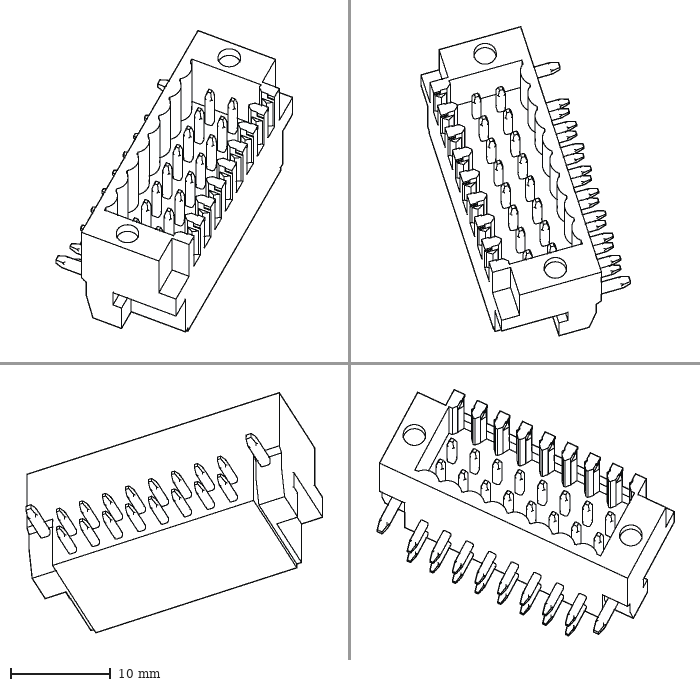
import cadquery as cq


depth = 10.48
length = 27.88
height = 14.2
overcut = 0.28

pitch = 2.55
pins_per_row = 8
near_row = 3.65
low_tail = 1.23
pin_ys = [(i - (pins_per_row - 1) / 2) * pitch for i in range(pins_per_row)]

tail_reach = 3.5
tip_length = 1.05
contact_size = 0.85
contact_tip_size = 0.35
contact_fillet = 0.22
contact_top = 12.2
anchor_size = 1.03
anchor_tip_size = 0.55
anchor_fillet = 0.25
anchor_z = 5.5
pin_root = 0.55

pocket_back = 0.95
pocket_front = 8.6
pocket_half_length = 10.43
pocket_floor = 7.08
scallop_rise = 0.55
scallop_half_width = 1.17

slot_mouth_half = 1.17
slot_half = 0.78
slot_mouth_length = 0.45
sill_back = 9.73
sill_top = 9.2
ridge_start = 9.1
ridge_end = 10.3
ridge_gap_half = 0.42
ridge_top = 13.1
tab_gap_half = 0.7
tab_height = 0.53

end_y = 12.15
hole_x = 4.3
hole_diameter = 2.25
hole_depth = 1.12
notch_length = 3.15
notch_floor = 8.87
wing_length = 2.85
wing_setback = 0.53
wing_base = 0.53
undercut_length = 2.31
undercut_top = 6.02
undercut_step = 3.95


def block(x_range, y_range, z_range):
    """Box spanning three (low, high) ranges."""
    (x0, x1), (y0, y1), (z0, z1) = x_range, y_range, z_range
    return cq.Workplane("XY").box(x1 - x0, y1 - y0, z1 - z0, centered=False).translate((x0, y0, z0))


def prism(points, z_low, z_high):
    """Upright prism on an XY outline."""
    return cq.Workplane("XY").workplane(offset=z_low).polyline(points).close().extrude(z_high - z_low)


def end_profile(points, inner_y):
    """XZ outline extruded from inner_y out past the -Y end."""
    span = length / 2 + overcut - inner_y
    return cq.Workplane("XZ").workplane(offset=inner_y).polyline(points).close().extrude(span)


def both_ends(shape):
    """Shape together with its mirror image at the other end."""
    return shape.union(shape.mirror("XZ"))


def pin(total, size, tip_size, fillet):
    """Upright square pin with rounded edges and a tapered tip, starting at the origin."""
    shaft = cq.Workplane("XY").rect(size, size).extrude(total).edges("|Z").fillet(fillet)
    straight = total - tip_length
    envelope = cq.Workplane("XY").rect(size, size).extrude(straight)
    taper = (
        cq.Workplane("XY").workplane(offset=straight).rect(size, size)
        .workplane(offset=tip_length).rect(tip_size, tip_size).loft(ruled=True)
    )
    return shaft.intersect(envelope.union(taper))


def contact_pocket():
    """Pocket whose rear wall bulges inward in front of every pin."""
    outline = cq.Workplane("XY").workplane(offset=pocket_floor)
    outline = outline.moveTo(pocket_front, -pocket_half_length).lineTo(pocket_back, -pocket_half_length)
    for y in pin_ys:
        outline = outline.lineTo(pocket_back, y - scallop_half_width)
        outline = outline.threePointArc(
            (pocket_back + scallop_rise, y), (pocket_back, y + scallop_half_width)
        )
    outline = outline.lineTo(pocket_back, pocket_half_length).lineTo(pocket_front, pocket_half_length)
    return outline.close().extrude(height + overcut - pocket_floor)


def front_slot():
    """Slot through the front wall with a flared mouth, centred on Y = 0."""
    neck_x = pocket_front + slot_mouth_length
    outer_x = depth + overcut
    points = [
        (pocket_front, -slot_mouth_half),
        (neck_x, -slot_half),
        (outer_x, -slot_half),
        (outer_x, slot_half),
        (neck_x, slot_half),
        (pocket_front, slot_mouth_half),
    ]
    slot = prism(points, pocket_floor, height + overcut)

    sill = block((sill_back, outer_x), (-slot_half, slot_half), (pocket_floor, sill_top))

    ridge = prism(
        [(ridge_start, slot_half), (sill_back, ridge_gap_half), (ridge_end, slot_half)],
        pocket_floor, ridge_top,
    )
    tab = block((sill_back, outer_x), (tab_gap_half, slot_half), (height - tab_height, height + overcut))
    return slot.cut(sill).cut(both_ends(ridge)).cut(both_ends(tab))


def end_cuts():
    """Front corner notch, wing setback, undercut and screw hole at both ends."""
    notch = block(
        (pocket_front, depth + overcut),
        (-length / 2 - overcut, -length / 2 + notch_length),
        (notch_floor, height + overcut),
    )

    setback_top = 6.6
    taper_top = 3.95
    taper_foot_x = 1.28
    setback = end_profile(
        [
            (-overcut, setback_top + overcut),
            (wing_setback, setback_top - wing_setback),
            (wing_setback, taper_top),
            (taper_foot_x, wing_base),
            (depth + overcut, wing_base),
            (depth + overcut, -overcut),
            (-overcut, -overcut),
        ],
        length / 2 - wing_length,
    )

    undercut_back = 3.5
    undercut_step_x = 4.45
    undercut = end_profile(
        [
            (undercut_back, undercut_top),
            (depth + overcut, undercut_top),
            (depth + overcut, -overcut),
            (undercut_step_x, -overcut),
            (undercut_step_x, undercut_step),
            (undercut_back, undercut_step),
        ],
        length / 2 - undercut_length,
    )

    hole = (
        cq.Workplane("XY").workplane(offset=height - hole_depth).center(hole_x, -end_y)
        .circle(hole_diameter / 2).extrude(hole_depth + overcut)
    )
    return [both_ends(cut) for cut in (notch, setback, undercut, hole)]


housing = block((0, depth), (-length / 2, length / 2), (0, height))
housing = housing.cut(contact_pocket())
slot_tool = front_slot()
for y in pin_ys:
    housing = housing.cut(slot_tool.translate((0, y, 0)))
for end_cut in end_cuts():
    housing = housing.cut(end_cut)

contact = pin(contact_top - pocket_floor + pin_root, contact_size, contact_tip_size, contact_fillet)
tail = pin(tail_reach + pin_root, contact_size, contact_tip_size, contact_fillet)
anchor = pin(tail_reach + wing_setback + pin_root, anchor_size, anchor_tip_size, anchor_fillet)
tail = tail.rotate((0, 0, 0), (0, 1, 0), -90)
anchor = anchor.rotate((0, 0, 0), (0, 1, 0), -90)

result = housing
for row in range(2):
    for y in pin_ys:
        result = result.union(contact.translate((near_row + row * pitch, y, pocket_floor - pin_root)))
        result = result.union(tail.translate((pin_root, y, low_tail + row * pitch)))
for y in (-end_y, end_y):
    result = result.union(anchor.translate((wing_setback + pin_root, y, anchor_z)))